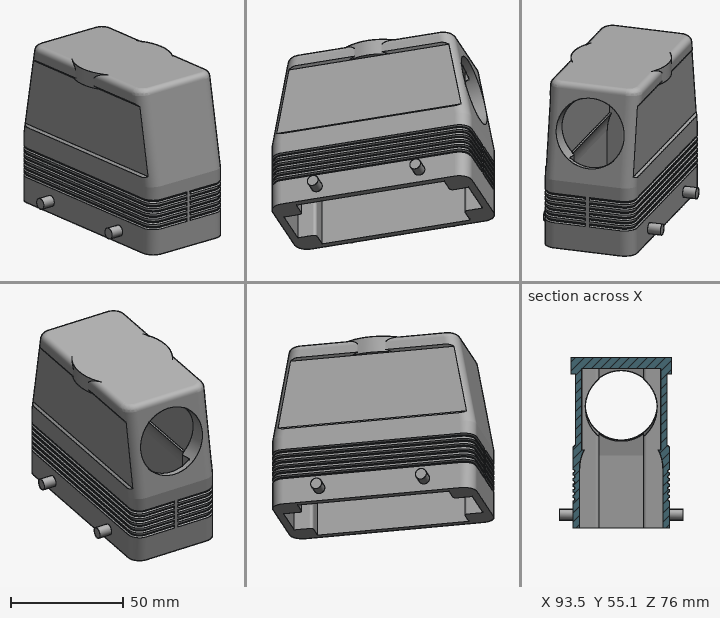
import cadquery as cq
import math

length = 93.5
width = 43.0
height = 76.0
taper_start = 32.3
taper_angle = 10.3
corner_radius = 6.0
top_radius = 3.0

panel_bottom = 37.0
panel_top = 68.5
panel_depth = 1.0

bulge_radius = 22.4

groove_count = 6
groove_band_bottom = 12.1
groove_band_height = 14.0
groove_mouth = 1.5
groove_floor = 0.5
groove_depth = 0.75
end_rib_width = 2.0

pin_diameter = 5.05
pin_spacing = 48.1
pin_height = 5.9
pin_span = 55.1

entry_diameter = 32.0
entry_height = 55.0
entry_depth = 18.7

wall = 3.0
roof = 5.05
end_wall = 3.5
ledge_height = 34.9
ledge_width = 1.0
ledge_arc_height = 8.6
pillar_gap = 19.8
pillar_face = 34.7
pillar_radius = 1.5

taper_slope = math.tan(math.radians(taper_angle))
half_length = length / 2
half_width = width / 2
groove_pitch = (groove_band_height - groove_mouth) / (groove_count - 1)
lowest_groove = groove_band_bottom + groove_mouth / 2


def end_profile(inset, top):
    """Straight-then-tapered outline in XZ, pulled in by inset at both ends."""
    foot = half_length - inset
    head = foot - (top - taper_start) * taper_slope
    points = [(-foot, 0), (foot, 0), (foot, taper_start), (head, top), (-head, top), (-foot, taper_start)]
    return cq.Workplane("XZ").polyline(points).close()


def make_body():
    body = end_profile(0, height).extrude(half_width, both=True)
    body = body.edges("not(#Z or |Y)").fillet(corner_radius)
    return body.faces(">Z").edges().fillet(top_radius)


def make_panel_recess():
    """Bevelled strip along the +Y side, running out through both rounded corners."""
    panel_y = half_width - panel_depth
    points = [
        (panel_y, panel_bottom),
        (half_width, panel_bottom - panel_depth),
        (half_width, panel_top + panel_depth),
        (panel_y, panel_top),
    ]
    return cq.Workplane("YZ").polyline(points).close().extrude(half_length, both=True)


def make_bulge():
    rim_height = height - panel_top
    return cq.Workplane("XY").workplane(offset=panel_top).circle(bulge_radius).extrude(rim_height)


def make_grooves():
    """Rings of trapezoidal section sunk into the walls, interrupted by the ribs on the end faces."""
    straight_x = half_length - corner_radius
    straight_y = half_width - corner_radius
    bend = corner_radius * (1 - math.sqrt(0.5))
    path = (
        cq.Workplane("XY")
        .workplane(offset=lowest_groove)
        .moveTo(0, -half_width)
        .lineTo(straight_x, -half_width)
        .threePointArc((half_length - bend, bend - half_width), (half_length, -straight_y))
        .lineTo(half_length, straight_y)
        .threePointArc((half_length - bend, half_width - bend), (straight_x, half_width))
        .lineTo(0, half_width)
    )
    floor_y = groove_depth - half_width
    section = [
        (-half_width, lowest_groove - groove_mouth / 2),
        (floor_y, lowest_groove - groove_floor / 2),
        (floor_y, lowest_groove + groove_floor / 2),
        (-half_width, lowest_groove + groove_mouth / 2),
    ]
    half_ring = cq.Workplane("YZ").polyline(section).close().sweep(path)
    ribs = cq.Workplane("XY").box(2 * length, end_rib_width, 2 * height)
    ring = half_ring.union(half_ring.mirror("YZ")).cut(ribs)
    grooves = cq.Workplane("XY")
    for index in range(groove_count):
        grooves = grooves.add(ring.translate((0, 0, index * groove_pitch)))
    return grooves.combine()


def make_cavity():
    ceiling = height - roof
    upper_y = half_width - panel_depth - wall
    ledge_y = upper_y - ledge_width
    lower_y = half_width - wall
    arc_bottom = ledge_height - ledge_arc_height
    overhang = lower_y - ledge_y
    arc_radius = (overhang**2 + ledge_arc_height**2) / (2 * overhang)
    half_angle = math.asin(ledge_arc_height / arc_radius) / 2
    arc_mid = (
        lower_y - arc_radius * (1 - math.cos(half_angle)),
        arc_bottom + arc_radius * math.sin(half_angle),
    )
    half_section = (
        cq.Workplane("YZ")
        .moveTo(0, 0)
        .lineTo(lower_y, 0)
        .lineTo(lower_y, arc_bottom)
        .threePointArc(arc_mid, (ledge_y, ledge_height))
        .lineTo(upper_y, ledge_height)
        .lineTo(upper_y, ceiling)
        .lineTo(0, ceiling)
        .close()
        .extrude(pillar_face, both=True)
    )
    middle = half_section.union(half_section.mirror("XZ"))
    ends = end_profile(end_wall, ceiling).extrude(pillar_gap / 2, both=True)
    cavity = middle.union(ends)
    reach_x = pillar_face + pillar_radius
    reach_y = pillar_gap / 2 + pillar_radius
    pillar_edges = cq.selectors.BoxSelector((-reach_x, -reach_y, 0), (reach_x, reach_y, height))
    return cavity.edges("|Z").edges(pillar_edges).fillet(pillar_radius)


def make_entry():
    """Cable hole square to the leaning -X face."""
    face_x = -half_length + (entry_height - taper_start) * taper_slope
    lean = math.radians(taper_angle)
    inward = cq.Vector(math.cos(lean), 0, -math.sin(lean))
    outside = cq.Vector(face_x, 0, entry_height) - inward * end_wall
    return cq.Workplane(cq.Solid.makeCylinder(entry_diameter / 2, entry_depth, outside, inward))


def make_pins():
    """Locking pins on both long sides, flush with the cavity walls."""
    pin_length = pin_span / 2 - half_width + wall
    side = (
        cq.Workplane("XZ", origin=(0, wall - half_width, pin_height))
        .pushPoints([(-pin_spacing / 2, 0), (pin_spacing / 2, 0)])
        .circle(pin_diameter / 2)
        .extrude(pin_length)
    )
    return side.union(side.mirror("XZ"))


panel_recess = make_panel_recess()
shell = make_body().cut(panel_recess).cut(panel_recess.mirror("XZ"))
shell = shell.union(make_bulge()).cut(make_grooves())
shell = shell.cut(make_cavity()).cut(make_entry())
result = shell.union(make_pins())